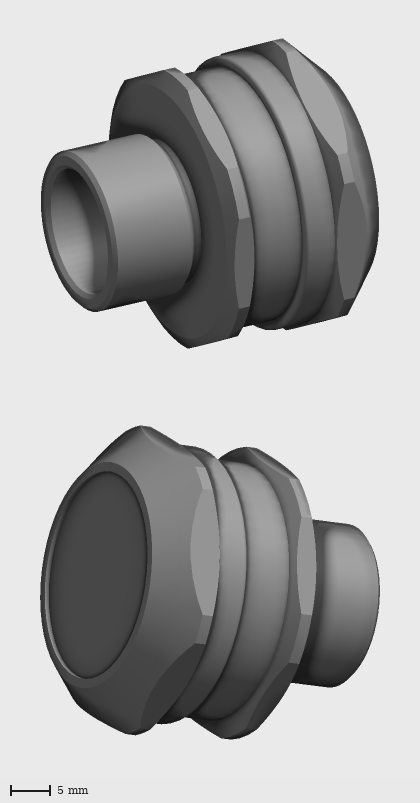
import cadquery as cq
import math

cap_end_y = 17.85
cap_recess_depth = 0.6
collar_rear_y = 9.85
collar_front_y = 5.75
front_hex_rear_y = -0.95
front_hex_front_y = -4.9
neck_end_y = -5.8
spigot_shoulder_y = -6.9
spigot_mouth_y = -17.85

cap_face_diameter = 28.9
cap_recess_diameter = 26.5
collar_diameter = 35.5
body_diameter = 33.0
neck_diameter = 18.8
spigot_diameter = 20.9
bore_diameter = 16.3

rear_hex_across_flats = 36.0
rear_hex_corner_diameter = 39.57
front_hex_across_flats = 34.98
front_hex_corner_diameter = 37.2

hex_chamfer_angle = 30.0
cap_cone_angle = 45.0
edge_break = 0.5
bore_depth = 11.0


def revolve_profile(points):
    """Revolve a closed (radius, y) outline about the Y axis."""
    return cq.Workplane("XY").polyline(points).close().revolve(360, (0, 0, 0), (0, 1, 0))


def hex_prism(across_flats, front_y, rear_y):
    """Hexagonal bar along Y with corners pointing up and down."""
    corner_diameter = across_flats / math.cos(math.pi / 6)
    return (
        cq.Workplane("XZ", origin=(0, rear_y, 0))
        .transformed(rotate=(0, 0, 30))
        .polygon(6, corner_diameter)
        .extrude(rear_y - front_y)
    )


def cone_length(outer_diameter, inner_diameter, angle):
    """Axial length of a cone inclined to the end plane by the given angle."""
    return (outer_diameter - inner_diameter) / 2 * math.tan(math.radians(angle))


def rear_nut():
    """Large hexagon with a chamfered front and a conical cap behind."""
    corner_radius = rear_hex_corner_diameter / 2
    front_cone = cone_length(rear_hex_corner_diameter, collar_diameter, hex_chamfer_angle)
    cap_cone = cone_length(rear_hex_corner_diameter, cap_face_diameter, cap_cone_angle)
    envelope = revolve_profile([
        (0, collar_rear_y),
        (collar_diameter / 2, collar_rear_y),
        (corner_radius, collar_rear_y + front_cone),
        (corner_radius, cap_end_y - cap_cone),
        (cap_face_diameter / 2, cap_end_y),
        (0, cap_end_y),
    ])
    return hex_prism(rear_hex_across_flats, collar_rear_y, cap_end_y).intersect(envelope)


def front_nut():
    """Smaller hexagon chamfered equally at both ends."""
    corner_radius = front_hex_corner_diameter / 2
    cone = cone_length(front_hex_corner_diameter, body_diameter, hex_chamfer_angle)
    envelope = revolve_profile([
        (0, front_hex_front_y),
        (body_diameter / 2, front_hex_front_y),
        (corner_radius, front_hex_front_y + cone),
        (corner_radius, front_hex_rear_y - cone),
        (body_diameter / 2, front_hex_rear_y),
        (0, front_hex_rear_y),
    ])
    return hex_prism(front_hex_across_flats, front_hex_front_y, front_hex_rear_y).intersect(envelope)


def cylinder(diameter, front_y, rear_y):
    """Round bar along Y."""
    return cq.Workplane("XZ", origin=(0, rear_y, 0)).circle(diameter / 2).extrude(rear_y - front_y)


def spigot():
    """Neck and spigot with a conical shoulder and a chamfered mouth."""
    neck_radius = neck_diameter / 2
    spigot_radius = spigot_diameter / 2
    return revolve_profile([
        (0, front_hex_front_y),
        (neck_radius, front_hex_front_y),
        (neck_radius, neck_end_y),
        (spigot_radius, spigot_shoulder_y),
        (spigot_radius, spigot_mouth_y + edge_break),
        (spigot_radius - edge_break, spigot_mouth_y),
        (0, spigot_mouth_y),
    ])


def bore():
    """Blind bore with a countersunk mouth."""
    bore_radius = bore_diameter / 2
    floor_y = spigot_mouth_y + bore_depth
    return revolve_profile([
        (0, spigot_mouth_y),
        (bore_radius + edge_break, spigot_mouth_y),
        (bore_radius, spigot_mouth_y + edge_break),
        (bore_radius, floor_y),
        (0, floor_y),
    ])


collar = cylinder(collar_diameter, collar_front_y, collar_rear_y).faces("<Y").edges().fillet(edge_break)
body = cylinder(body_diameter, front_hex_rear_y, collar_front_y)
cap_recess = cylinder(cap_recess_diameter, cap_end_y - cap_recess_depth, cap_end_y)

result = (
    rear_nut()
    .union(collar)
    .union(body)
    .union(front_nut())
    .union(spigot())
    .cut(bore())
    .cut(cap_recess)
)